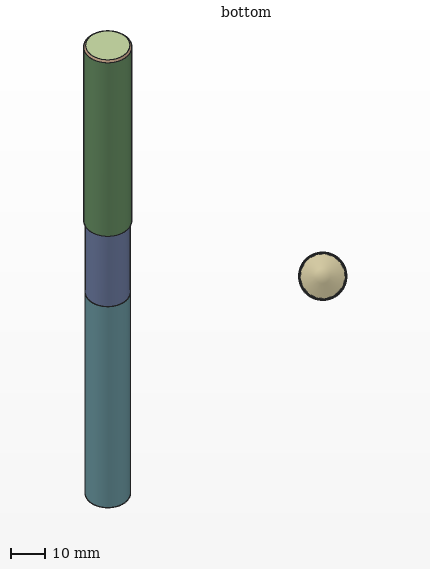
import cadquery as cq
import math

total_length = 176.0
shank_diameter = 14.0
neck_diameter = 13.2
cutting_diameter = 13.4

shank_length = 68.0
neck_length = 27.6
shank_chamfer = 0.62
point_angle = 140.0

shank_bottom = total_length - shank_length
neck_bottom = shank_bottom - neck_length
cutting_radius = cutting_diameter / 2
point_height = cutting_radius / math.tan(math.radians(point_angle / 2))


def make_holder():
    """Chamfered shank with the slimmer neck below it."""
    shank = (
        cq.Workplane("XY")
        .workplane(offset=shank_bottom)
        .circle(shank_diameter / 2)
        .extrude(shank_length)
        .faces(">Z")
        .chamfer(shank_chamfer)
    )
    neck = (
        cq.Workplane("XY")
        .workplane(offset=neck_bottom)
        .circle(neck_diameter / 2)
        .extrude(neck_length)
    )
    return shank.union(neck)


def make_cutting_part():
    """Round cutting length ending in a conical point at the origin."""
    return (
        cq.Workplane("XZ")
        .moveTo(0, 0)
        .lineTo(cutting_radius, point_height)
        .lineTo(cutting_radius, neck_bottom)
        .lineTo(0, neck_bottom)
        .close()
        .revolve(360, (0, 0, 0), (0, 1, 0))
    )


holder = make_holder()
cutting_part = make_cutting_part()

result = cq.Compound.makeCompound([holder.val(), cutting_part.val()])